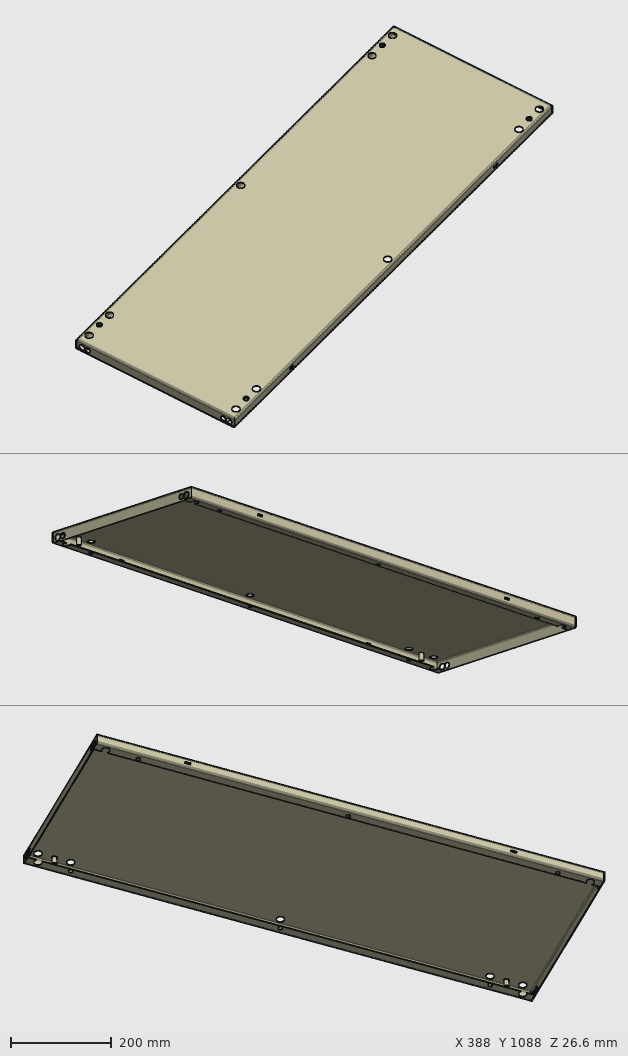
import cadquery as cq

WIDTH = 388.0
LENGTH = 1088.0
HEIGHT = 25.6
SHEET = 2.0
BEND_RADIUS = 4.0
INNER_LENGTH = LENGTH - 2 * SHEET
INNER_RADIUS = BEND_RADIUS - SHEET
RETURN_WIDTH = 21.0

HOLE_INSET = 15.0
HOLE_X = WIDTH / 2 - HOLE_INSET
CORNER_HOLE_DIAMETER = 16.5
CORNER_HOLE_Y = LENGTH / 2 - 25.0
ACCESS_HOLE_DIAMETER = 16.5
SCREW_HOLE_DIAMETER = 9.0
ACCESS_HOLE_Y = LENGTH / 2 - 95.0

END_HOLE_DIAMETER = 12.0
OUTER_END_HOLE_DIAMETER = 14.0
END_HOLE_X = WIDTH / 2 - 28.75
END_HOLE_Z = 10.0

SIDE_SLOT_LENGTH = 13.0
SIDE_SLOT_HEIGHT = 4.0
SIDE_SLOT_Y = 349.0
SIDE_SLOT_Z = 12.5

NUT_Y = LENGTH / 2 - 60.0
NUT_HEAD_DIAMETER = 12.0
NUT_HEAD_HEIGHT = 1.0
NUT_BODY_DIAMETER = 10.0
NUT_BODY_LENGTH = 17.5
NUT_BORE_DIAMETER = 5.0


def vertical_cylinders(points, diameter, bottom, top):
    return (
        cq.Workplane("XY", origin=(0, 0, bottom))
        .pushPoints(points)
        .circle(diameter / 2)
        .extrude(top - bottom)
    )


def both_signs(x, y):
    """The four points mirrored about both centre lines."""
    return [(sx * x, sy * y) for sx in (-1, 1) for sy in (-1, 1)]


def folded_block(width, length, bottom, top, radius):
    """Block with its top edges and its long bottom edges rounded."""
    block = cq.Workplane("XY", origin=(0, 0, bottom)).rect(width, length).extrude(top - bottom)
    return block.faces(">Z").edges().fillet(radius).faces("<Z").edges("|Y").fillet(radius)


def make_folded_sheet():
    """Hollow shell, open underneath between the two return lips."""
    sheet = folded_block(WIDTH, LENGTH, 0, HEIGHT, BEND_RADIUS)
    sheet = sheet.cut(folded_block(WIDTH - 2 * SHEET, INNER_LENGTH, SHEET, HEIGHT - SHEET, INNER_RADIUS))
    opening = cq.Workplane("XY").rect(WIDTH - 2 * RETURN_WIDTH, INNER_LENGTH).extrude(HEIGHT / 2)
    return sheet.cut(opening)


def cut_vertical_holes(panel):
    corner_points = both_signs(HOLE_X, CORNER_HOLE_Y)
    panel = panel.cut(vertical_cylinders(corner_points, CORNER_HOLE_DIAMETER, 0, HEIGHT))

    screw_points = both_signs(HOLE_X, ACCESS_HOLE_Y) + [(-HOLE_X, 0), (HOLE_X, 0)]
    panel = panel.cut(vertical_cylinders(screw_points, ACCESS_HOLE_DIAMETER, HEIGHT / 2, HEIGHT))
    panel = panel.cut(vertical_cylinders(screw_points, SCREW_HOLE_DIAMETER, 0, HEIGHT / 2))

    nut_points = both_signs(HOLE_X, NUT_Y)
    return panel.cut(vertical_cylinders(nut_points, NUT_BODY_DIAMETER, HEIGHT / 2, HEIGHT))


def cut_end_wall_holes(panel):
    between_end_walls = cq.Workplane("XY").rect(WIDTH, INNER_LENGTH).extrude(HEIGHT)
    for x, diameter in ((END_HOLE_X, END_HOLE_DIAMETER), (HOLE_X, OUTER_END_HOLE_DIAMETER)):
        end_holes = (
            cq.Workplane("XZ")
            .pushPoints([(-x, END_HOLE_Z), (x, END_HOLE_Z)])
            .circle(diameter / 2)
            .extrude(LENGTH / 2, both=True)
        )
        panel = panel.cut(end_holes.cut(between_end_walls))
    return panel


def cut_side_slots(panel):
    side_slots = (
        cq.Workplane("YZ")
        .pushPoints([(-SIDE_SLOT_Y, SIDE_SLOT_Z), (SIDE_SLOT_Y, SIDE_SLOT_Z)])
        .slot2D(SIDE_SLOT_LENGTH, SIDE_SLOT_HEIGHT)
        .extrude(WIDTH / 2, both=True)
    )
    return panel.cut(side_slots)


def make_panel():
    panel = make_folded_sheet()
    panel = cut_vertical_holes(panel)
    panel = cut_end_wall_holes(panel)
    return cut_side_slots(panel)


def make_rivet_nut(x, y):
    center = [(x, y)]
    bottom = HEIGHT - NUT_BODY_LENGTH
    top = HEIGHT + NUT_HEAD_HEIGHT
    head = vertical_cylinders(center, NUT_HEAD_DIAMETER, HEIGHT, top)
    body = vertical_cylinders(center, NUT_BODY_DIAMETER, bottom, HEIGHT)
    bore = vertical_cylinders(center, NUT_BORE_DIAMETER, bottom, top)
    return head.union(body).cut(bore)


panel = make_panel()
rivet_nuts = [make_rivet_nut(x, y) for x, y in both_signs(HOLE_X, NUT_Y)]
result = cq.Compound.makeCompound([panel.val(), *[nut.val() for nut in rivet_nuts]])